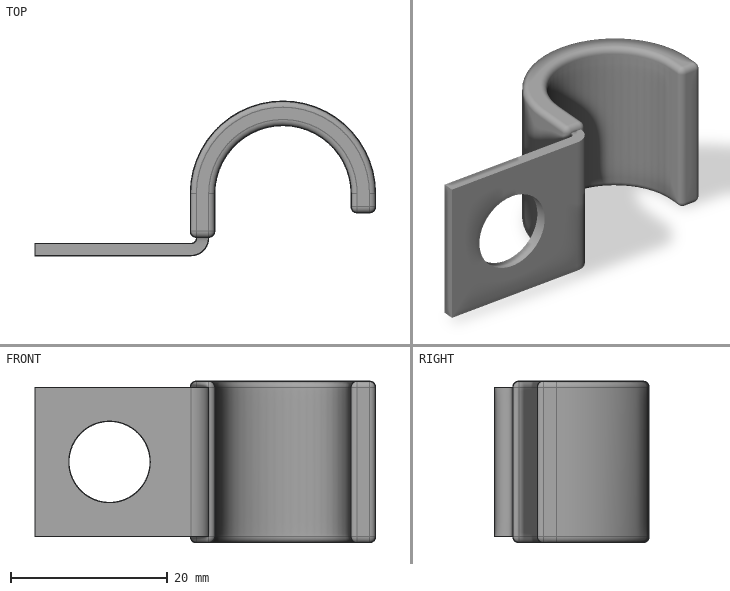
import cadquery as cq

total_length = 43.6
total_depth = 19.8
strip_thickness = 1.55
strip_width = 19.1
cushion_cover = 0.8
outer_radius = 11.85
long_leg = 5.6
short_leg = 2.45
bend_inner_radius = 0.7
hole_diameter = 10.37

cushion_thickness = strip_thickness + 2 * cushion_cover
cushion_width = strip_width + 2 * cushion_cover
inner_radius = outer_radius - cushion_thickness
mid_radius = (outer_radius + inner_radius) / 2
edge_round = cushion_cover
flange_front = outer_radius - total_depth
flange_back = flange_front + strip_thickness
flange_end = outer_radius - total_length
bend_outer_radius = bend_inner_radius + strip_thickness
strip_left = -mid_radius - strip_thickness / 2
strip_right = strip_left + strip_thickness
bend_x = strip_left - bend_inner_radius
bend_y = flange_back + bend_inner_radius
hole_x = flange_end + strip_width / 2


def make_cushion():
    """Half loop with two straight legs, rounded along every outside edge."""
    body = (
        cq.Workplane("XY")
        .workplane(offset=-cushion_width / 2)
        .moveTo(-outer_radius, -long_leg)
        .lineTo(-outer_radius, 0)
        .threePointArc((0, outer_radius), (outer_radius, 0))
        .lineTo(outer_radius, -short_leg)
        .lineTo(inner_radius, -short_leg)
        .lineTo(inner_radius, 0)
        .threePointArc((0, inner_radius), (-inner_radius, 0))
        .lineTo(-inner_radius, -long_leg)
        .close()
        .extrude(cushion_width)
    )
    end_corners = body.faces("-Y").edges("|Z")
    return body.faces("|Z").edges().add(end_corners).fillet(edge_round)


def make_flange():
    """Drilled flat flange, bent up into the long leg of the cushion."""
    strip = (
        cq.Workplane("XY")
        .workplane(offset=-strip_width / 2)
        .moveTo(flange_end, flange_front)
        .lineTo(bend_x, flange_front)
        .radiusArc((strip_right, bend_y), -bend_outer_radius)
        .lineTo(strip_right, 0)
        .lineTo(strip_left, 0)
        .lineTo(strip_left, bend_y)
        .radiusArc((bend_x, flange_back), bend_inner_radius)
        .lineTo(flange_end, flange_back)
        .close()
        .extrude(strip_width)
    )
    hole = (
        cq.Workplane("XZ", origin=(hole_x, flange_back, 0))
        .circle(hole_diameter / 2)
        .extrude(strip_thickness)
    )
    return strip.cut(hole)


result = make_cushion().union(make_flange())